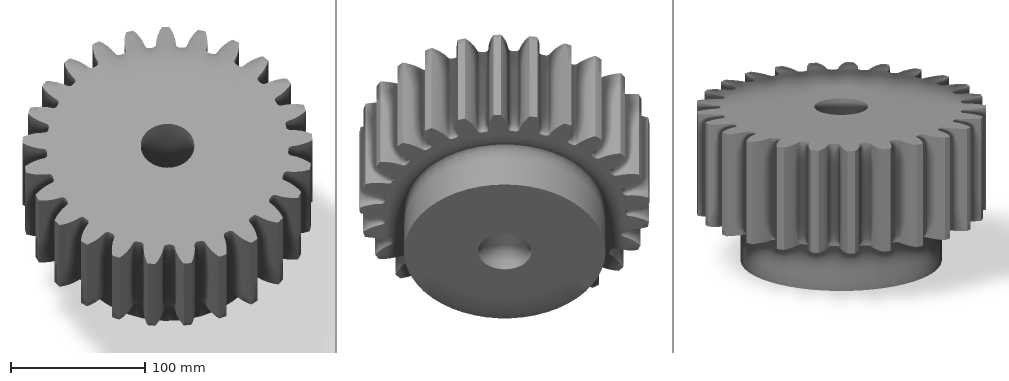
import cadquery as cq
import math


overall_width = 215.9
teeth = 25
pressure_angle = math.radians(20)
addendum_factor = 1.0
dedendum_factor = 1.25
root_fillet_factor = 0.38
root_width_fraction = 0.66

total_height = 120.0
face_width = total_height * 2 / 3
hub_height = total_height - face_width
hub_diameter = 150.0
bore_diameter = 40.0


def involute(angle):
    return math.tan(angle) - angle


tooth_pitch = 2 * math.pi / teeth
half_at_root = tooth_pitch * root_width_fraction / 2
half_at_pitch = tooth_pitch / 4
tip_ratio = 1 + 2 * addendum_factor / teeth
tip_pressure_angle = math.acos(math.cos(pressure_angle) / tip_ratio)
half_at_tip = half_at_pitch + involute(pressure_angle) - involute(tip_pressure_angle)

axis_to_tooth = tooth_pitch / 4
tip_radius = overall_width / 2 / math.cos(axis_to_tooth - half_at_tip)
pitch_radius = tip_radius / tip_ratio
module = 2 * pitch_radius / teeth
root_radius = pitch_radius - dedendum_factor * module
root_fillet = root_fillet_factor * module


def polar(radius, angle):
    return (radius * math.cos(angle), radius * math.sin(angle))


def gear_profile():
    """Closed outline of all teeth; each flank is one arc from root to tip."""
    first_tooth = -math.pi / 2
    profile = cq.Workplane("XY").moveTo(*polar(root_radius, first_tooth - half_at_root))
    for i in range(teeth):
        tooth = first_tooth + i * tooth_pitch
        pitch_start = polar(pitch_radius, tooth - half_at_pitch)
        tip_start = polar(tip_radius, tooth - half_at_tip)
        tip_middle = polar(tip_radius, tooth)
        tip_end = polar(tip_radius, tooth + half_at_tip)
        pitch_end = polar(pitch_radius, tooth + half_at_pitch)
        root_end = polar(root_radius, tooth + half_at_root)
        gap_middle = polar(root_radius, tooth + tooth_pitch / 2)
        next_root_start = polar(root_radius, tooth + tooth_pitch - half_at_root)
        profile = (
            profile.threePointArc(pitch_start, tip_start)
            .threePointArc(tip_middle, tip_end)
            .threePointArc(pitch_end, root_end)
            .threePointArc(gap_middle, next_root_start)
        )
    return profile.close()


def is_root_edge(edge):
    centre = edge.Center()
    return math.hypot(centre.x, centre.y) < pitch_radius


gear = gear_profile().extrude(face_width)
gear = gear.edges("|Z").filter(is_root_edge).fillet(root_fillet)

hub = cq.Workplane("XY").circle(hub_diameter / 2).extrude(-hub_height)

bore = (
    cq.Workplane("XY", origin=(0, 0, -hub_height))
    .circle(bore_diameter / 2)
    .extrude(total_height)
)

result = gear.union(hub).cut(bore)